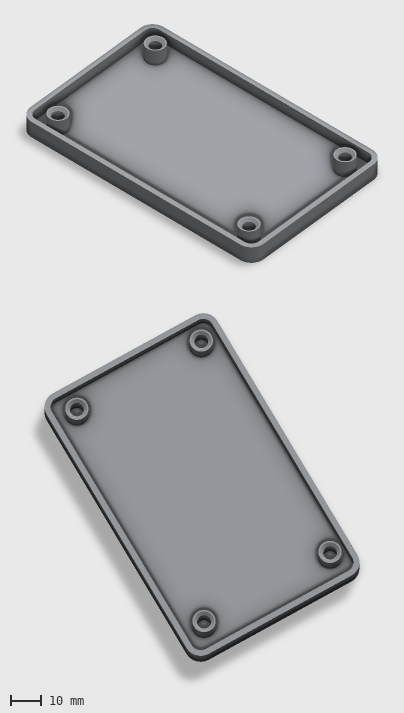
import cadquery as cq

length = 102.9
width = 64.5
rim_height = 6.7
wall = 2.0
floor_thickness = 2.0
corner_radius = 5.3

post_top = 8.3
post_diameter = 7.6
bore_diameter = 4.5
mouth_chamfer = 1.0
left_x = -41.3
right_x = 42.5
back_y = 22.9
front_left_y = -24.7
front_right_y = -24.1
post_centers = [
    (left_x, back_y),
    (right_x, back_y),
    (left_x, front_left_y),
    (right_x, front_right_y),
]


def rounded_block(size_x, size_y, height, radius):
    """Block centred in X and Y, based at Z = 0, with rounded vertical edges."""
    block = cq.Workplane("XY").box(size_x, size_y, height, centered=(True, True, False))
    return block.edges("|Z").fillet(radius)


def make_tray():
    outside = rounded_block(length, width, rim_height, corner_radius)
    pocket = rounded_block(
        length - 2 * wall,
        width - 2 * wall,
        rim_height - floor_thickness,
        corner_radius - wall,
    )
    return outside.cut(pocket.translate((0, 0, floor_thickness)))


def make_post(x, y):
    """Tubular post whose bore stops at the tray floor."""
    tube = (
        cq.Workplane("XY", origin=(x, y, floor_thickness))
        .circle(post_diameter / 2)
        .circle(bore_diameter / 2)
        .extrude(post_top - floor_thickness)
    )
    mouth_edge = tube.faces(">Z").edges(cq.selectors.RadiusNthSelector(0))
    return mouth_edge.chamfer(mouth_chamfer)


result = make_tray()
for post_x, post_y in post_centers:
    result = result.union(make_post(post_x, post_y))